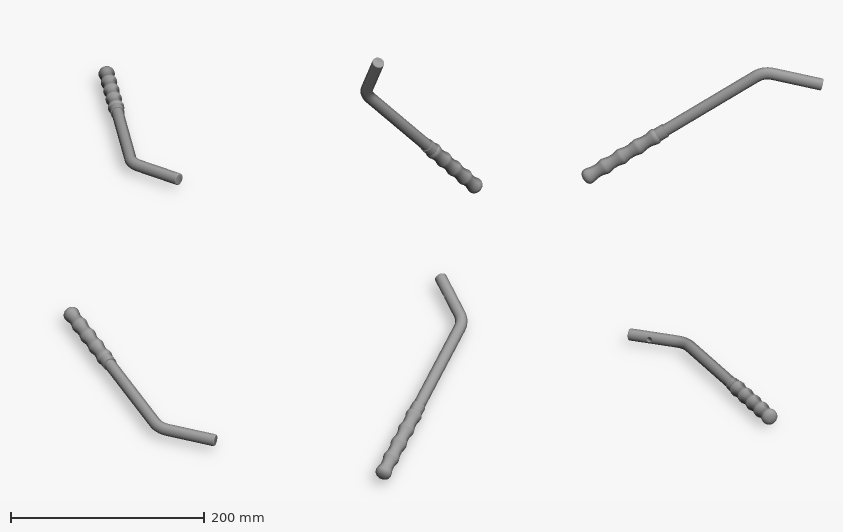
import cadquery as cq
import math

rod_diameter = 12.5
rod_radius = rod_diameter / 2
short_arm = 52.6
bend_radius = 23.5
bend_angle = 45.0
exposed_length = 110.0
end_fillet = 1.0

hole_diameter = 6.0
hole_depth = rod_radius
hole_from_end = 24.3

grip_length = 100.0
bulge_radius = 17.0 / 2
groove_radius = 6.9
collar_radius = 7.3
nose_edge_radius = 4.6
bulge_arc_radius = 6.0
first_bulge = 6.2
bulge_pitch = 20.1
groove_count = 4
socket_depth = 88.5

bend_rad = math.radians(bend_angle)
long_arm = exposed_length + socket_depth

bend_end = (
    -bend_radius * math.sin(bend_rad),
    bend_radius * (1 - math.cos(bend_rad)),
)


def along_arm(distance):
    """Point on the long arm's axis, measured from the end of the bend."""
    return (
        bend_end[0] - distance * math.cos(bend_rad),
        bend_end[1] + distance * math.sin(bend_rad),
    )


def make_rod():
    """Sweep a disc round the bend, from the short arm's free end into the grip."""
    bend_middle = (
        -bend_radius * math.sin(bend_rad / 2),
        bend_radius * (1 - math.cos(bend_rad / 2)),
    )
    path = (
        cq.Workplane("XY")
        .moveTo(short_arm, 0)
        .lineTo(0, 0)
        .threePointArc(bend_middle, bend_end)
        .lineTo(*along_arm(long_arm))
    )
    rod = cq.Workplane("YZ", origin=(short_arm, 0, 0)).circle(rod_radius).sweep(path)
    rod = rod.faces(">X").edges().fillet(end_fillet)
    hole = (
        cq.Workplane("XZ", origin=(short_arm - hole_from_end, rod_radius, 0))
        .circle(hole_diameter / 2)
        .extrude(hole_depth)
    )
    return rod.cut(hole)


def add_bulge_arc(outline, peak, start_offset, end_offset):
    """Continue the outline round a bulge, between two axial offsets from its peak."""

    def point(offset):
        rise = math.sqrt(bulge_arc_radius**2 - offset**2)
        return (peak + offset, bulge_radius - bulge_arc_radius + rise)

    return outline.threePointArc(point((start_offset + end_offset) / 2), point(end_offset))


def make_grip():
    """Revolve the wavy outline; local x runs along the axis from the nose, local y is the radius."""
    arc_center_height = bulge_radius - bulge_arc_radius

    nose_sine = (nose_edge_radius - arc_center_height) / bulge_arc_radius
    nose_cosine = math.sqrt(1 - nose_sine**2)
    nose_edge_offset = -bulge_arc_radius * nose_cosine
    nose_edge = first_bulge + nose_edge_offset
    dome_radius = nose_edge_radius / nose_sine
    dome_center = nose_edge + dome_radius * nose_cosine
    dome_tip = dome_center - dome_radius
    half_dome_angle = math.asin(nose_sine) / 2
    dome_middle = (
        dome_center - dome_radius * math.cos(half_dome_angle),
        dome_radius * math.sin(half_dome_angle),
    )

    half_pitch = bulge_pitch / 2
    groove_drop = bulge_radius - groove_radius
    sum_of_arc_radii = (half_pitch**2 + groove_drop**2) / (2 * groove_drop)
    bulge_edge = bulge_arc_radius * half_pitch / sum_of_arc_radii
    edge_height = arc_center_height + math.sqrt(bulge_arc_radius**2 - bulge_edge**2)

    outline = (
        cq.Workplane("XY")
        .moveTo(dome_tip, 0)
        .threePointArc(dome_middle, (nose_edge, nose_edge_radius))
    )
    arc_start = nose_edge_offset
    for index in range(groove_count):
        peak = first_bulge + index * bulge_pitch
        groove = peak + half_pitch
        outline = add_bulge_arc(outline, peak, arc_start, bulge_edge)
        outline = outline.threePointArc(
            (groove, groove_radius), (groove + half_pitch - bulge_edge, edge_height)
        )
        arc_start = -bulge_edge

    last_bulge = first_bulge + groove_count * bulge_pitch
    collar_offset = math.sqrt(bulge_arc_radius**2 - (collar_radius - arc_center_height) ** 2)
    outline = add_bulge_arc(outline, last_bulge, arc_start, collar_offset)
    outline = outline.lineTo(grip_length, collar_radius).lineTo(grip_length, 0).close()
    grip = outline.revolve(360, (0, 0, 0), (1, 0, 0))

    socket = (
        cq.Workplane("YZ", origin=(grip_length - socket_depth, 0, 0))
        .circle(rod_radius)
        .extrude(socket_depth)
    )
    nose_x, nose_y = along_arm(exposed_length + grip_length)
    return (
        grip.cut(socket)
        .rotate((0, 0, 0), (0, 0, 1), -bend_angle)
        .translate((nose_x, nose_y, 0))
    )


rod = make_rod()
grip = make_grip()
result = cq.Compound.makeCompound([rod.val(), grip.val()])